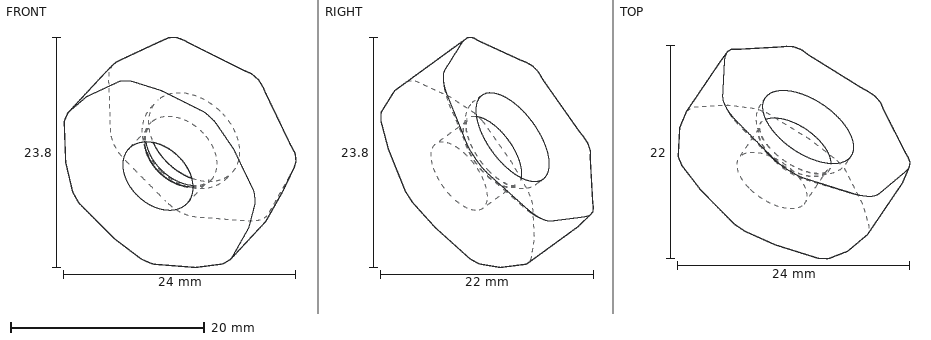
import cadquery as cq
import math


axis_azimuth = 55.9
axis_elevation = 31.1
bottom_centre = (-2.28, -2.9, -2.43)

corner_count = 7
corner_pitch = 360 / corner_count
short_flank_angle = 6.0
long_flank_angle = 17.3
nose_angle = 38.7
short_flank_distance = 11.1
long_flank_distance = 10.98
nose_distance = 11.5
flank_round = 1.1

body_height = 7.45
crown_top = 9.37
short_flank_lean = -0.4
long_flank_lean = 16.0
nose_lean = 5.5

floor_height = 7.8
dish_sections = [
    (floor_height, 8.4, 9.04, 18.8),
    (7.98, 9.37, 10.0, 19.5),
    (8.72, 10.4, 11.08, 17.5),
    (crown_top, 11.45, 11.97, 21.0),
]

bore_radius = 8.3 / 2
seat_radius = 5.38
seat_depth = 1.1
seat_round = 1.15
seat_round_sweep = 66.0
throat_radius = 4.33
throat_length = 0.25
throat_round = throat_radius - bore_radius


def line_crossing(first, second):
    """Point where two lines, each given as (normal angle, distance), cross."""
    first_angle, second_angle = math.radians(first[0]), math.radians(second[0])
    span = math.sin(second_angle - first_angle)
    x = (first[1] * math.sin(second_angle) - second[1] * math.sin(first_angle)) / span
    y = (second[1] * math.cos(first_angle) - first[1] * math.cos(second_angle)) / span
    return cq.Vector(x, y, 0)


def rounded_outline(sides, radius, height):
    """Closed wire around the given sides, every corner rounded, at the given height."""
    lift = cq.Vector(0, 0, height)
    rounds = []
    for index, side in enumerate(sides):
        following = sides[(index + 1) % len(sides)]
        corner = line_crossing(side, following)
        half_turn = math.radians((following[0] - side[0]) % 360) / 2
        setback = radius * math.tan(half_turn)
        bulge = radius * (1 / math.cos(half_turn) - 1)
        along, onward, outward = (
            cq.Vector(math.cos(math.radians(angle)), math.sin(math.radians(angle)), 0)
            for angle in (side[0] + 90, following[0] + 90, side[0] + math.degrees(half_turn))
        )
        start = corner - along * setback
        middle = corner - outward * bulge
        end = corner + onward * setback
        rounds.append((start + lift, middle + lift, end + lift))
    edges = []
    for index, (start, middle, end) in enumerate(rounds):
        edges.append(cq.Edge.makeLine(rounds[index - 1][2], start))
        edges.append(cq.Edge.makeThreePointArc(start, middle, end))
    return cq.Wire.assembleEdges(edges)


def flank_outline(height):
    """Outer outline at a height; the flats lean only above the body."""
    rise = max(height - body_height, 0)
    sides = []
    for corner in range(corner_count):
        for angle, distance, lean in (
            (short_flank_angle, short_flank_distance, short_flank_lean),
            (long_flank_angle, long_flank_distance, long_flank_lean),
            (nose_angle, nose_distance, nose_lean),
        ):
            inset = rise * math.tan(math.radians(lean))
            sides.append((angle + corner * corner_pitch, distance - inset))
    return rounded_outline(sides, flank_round, height)


def dish_outline(height, side_distance, corner_distance, side_angle):
    """Seven-sided outline whose corner rounding reaches the corner distance."""
    stretch = 1 / math.cos(math.radians(corner_pitch / 2))
    radius = (side_distance * stretch - corner_distance) / (stretch - 1)
    sides = [
        (side_angle + corner * corner_pitch, side_distance)
        for corner in range(corner_count)
    ]
    return rounded_outline(sides, radius, height)


def screw_hole():
    """Bore, rounded throat, S-shaped seat and straight entry, turned about the axis."""
    sweep = math.radians(seat_round_sweep)
    seat_top = floor_height - seat_depth
    blend_radius = seat_radius - seat_round * (1 - math.cos(sweep))
    blend_height = seat_top - seat_round * math.sin(sweep)
    lip_round = (blend_radius - throat_radius) / (1 - math.cos(sweep))
    throat_top = blend_height - lip_round * math.sin(sweep)
    throat_bottom = throat_top - throat_length
    half = sweep / 2
    seat_middle = (
        seat_radius - seat_round * (1 - math.cos(half)),
        seat_top - seat_round * math.sin(half),
    )
    lip_middle = (
        throat_radius + lip_round * (1 - math.cos(half)),
        throat_top + lip_round * math.sin(half),
    )
    return (
        cq.Workplane("XZ")
        .moveTo(0, 0)
        .lineTo(bore_radius, 0)
        .lineTo(bore_radius, throat_bottom - throat_round)
        .radiusArc((throat_radius, throat_bottom), throat_round)
        .lineTo(throat_radius, throat_top)
        .threePointArc(lip_middle, (blend_radius, blend_height))
        .threePointArc(seat_middle, (seat_radius, seat_top))
        .lineTo(seat_radius, crown_top)
        .lineTo(0, crown_top)
        .close()
        .revolve(360, (0, 0, 0), (0, 1, 0))
    )


body = cq.Solid.extrudeLinear(flank_outline(0), [], cq.Vector(0, 0, body_height))
crown = cq.Solid.makeLoft([flank_outline(body_height), flank_outline(crown_top)], True)
dish = cq.Solid.makeLoft([dish_outline(*section) for section in dish_sections], False)

insert = cq.Workplane(body).union(crown).cut(cq.Workplane(dish)).cut(screw_hole())

azimuth = math.radians(axis_azimuth)
elevation = math.radians(axis_elevation)
axis = (
    math.cos(elevation) * math.cos(azimuth),
    math.cos(elevation) * math.sin(azimuth),
    math.sin(elevation),
)
level_direction = (-math.sin(azimuth), math.cos(azimuth), 0)
seating = cq.Plane(origin=bottom_centre, xDir=level_direction, normal=axis)
result = cq.Workplane(insert.val().moved(cq.Location(seating)))